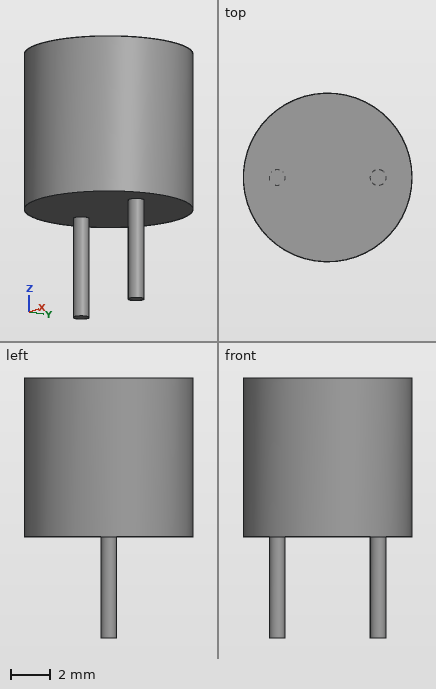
import cadquery as cq

can_diameter = 8.5
can_height = 8.0

lead_diameter = 0.8
lead_length = 5.1
lead_pitch = 5.08


def make_can():
    """Plain round can with its base at Z = 0."""
    return cq.Workplane("XY").circle(can_diameter / 2).extrude(can_height)


def make_lead(x):
    """Round lead hanging from the base of the can at the given X."""
    return cq.Workplane("XY").center(x, 0).circle(lead_diameter / 2).extrude(-lead_length)


can = make_can()
leads = [make_lead(side * lead_pitch / 2) for side in (-1, 1)]

result = cq.Compound.makeCompound([can.val(), *[lead.val() for lead in leads]])